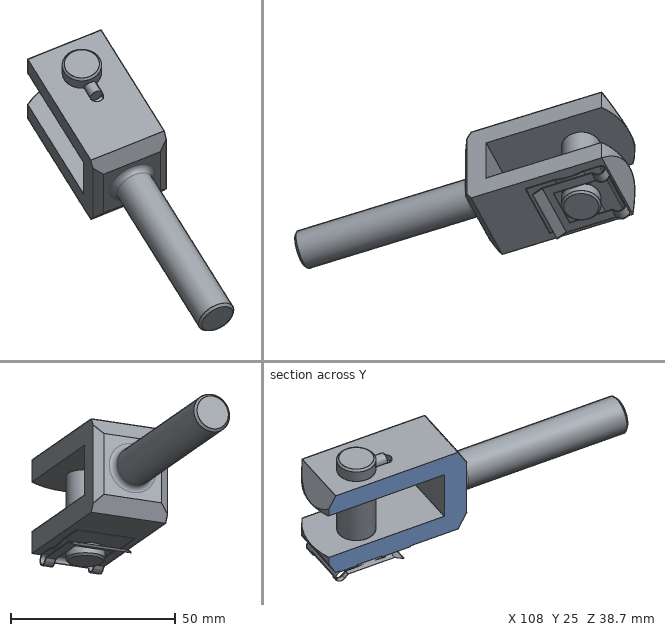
import cadquery as cq
import math

total_length = 108.0
fork_length = 50.0
fork_width = 25.0
fork_height = 30.0
gap_height = 16.0
gap_depth = 42.0
nose_depth = 4.0
shoulder_slope = math.tan(math.radians(60))
top_shoulder_length = 3.0
side_shoulder_length = 1.6

rod_diameter = 12.0
neck_fillet = 1.8
rod_end_chamfer = 0.8

pin_diameter = 12.0
pin_length = 38.7
pin_x = 15.9
pin_chamfer = 0.6
key_diameter = 4.1
key_end_x = 25.7
key_slot_center_x = 26.0

sheet = 0.3
clip_width = 19.4
upper_leaf_end_x = 30.1
leaf_bow = 0.6
bow_half_length = 4.6
loop_x = 5.9
loop_radius = 1.8
lower_leaf_z = -17.2
lower_leaf_end_x = 24.7
tail_length = 3.0
tail_drop = 1.6
notch_width = 13.0

half_width = fork_width / 2
half_height = fork_height / 2
half_gap = gap_height / 2


def shoulder(length, half_size):
    """Triangular section cut from the rear corner of the fork."""
    drop = length * shoulder_slope
    return [
        (fork_length - length, half_size),
        (fork_length, half_size),
        (fork_length, half_size - drop),
    ]


def make_fork():
    plan = (
        cq.Workplane("XY")
        .moveTo(nose_depth, -half_width)
        .lineTo(fork_length, -half_width)
        .lineTo(fork_length, half_width)
        .lineTo(nose_depth, half_width)
        .threePointArc((0, 0), (nose_depth, -half_width))
        .close()
        .extrude(half_height, both=True)
    )
    gap = cq.Workplane("XY").box(2 * gap_depth, fork_width, gap_height)
    fork = plan.cut(gap)

    nose = [(0, half_gap), (nose_depth, half_height), (0, half_height)]
    arm_sections = [nose, shoulder(top_shoulder_length, half_height)]
    for section in arm_sections:
        cut = cq.Workplane("XZ").polyline(section).close().extrude(half_width, both=True)
        fork = fork.cut(cut).cut(cut.mirror("XY"))
    side_section = shoulder(side_shoulder_length, half_width)
    side_cut = cq.Workplane("XY").polyline(side_section).close().extrude(half_height, both=True)
    return fork.cut(side_cut).cut(side_cut.mirror("XZ"))


def make_shank():
    """Turned rod with a concave fillet where it meets the fork."""
    radius = rod_diameter / 2
    neck_end = fork_length + neck_fillet
    neck_radius = radius + neck_fillet
    along = neck_end - neck_fillet * math.sin(math.radians(45))
    across = neck_radius - neck_fillet * math.cos(math.radians(45))
    return (
        cq.Workplane("XY")
        .moveTo(gap_depth, 0)
        .lineTo(gap_depth, radius)
        .lineTo(fork_length, radius)
        .lineTo(fork_length, neck_radius)
        .threePointArc((along, across), (neck_end, radius))
        .lineTo(total_length - rod_end_chamfer, radius)
        .lineTo(total_length, radius - rod_end_chamfer)
        .lineTo(total_length, 0)
        .close()
        .revolve(360, (0, 0, 0), (1, 0, 0))
    )


def make_pin():
    return (
        cq.Workplane("XY")
        .center(pin_x, 0)
        .circle(pin_diameter / 2)
        .extrude(pin_length / 2, both=True)
        .faces("<Z or >Z")
        .chamfer(pin_chamfer)
    )


def make_key():
    """Small round bar lying half sunk in the top face of the fork."""
    return (
        cq.Workplane("YZ", origin=(pin_x, 0, half_height))
        .circle(key_diameter / 2)
        .extrude(key_end_x - pin_x)
    )


def make_key_slot():
    depth = key_diameter / 2
    length = key_slot_center_x - pin_x
    slot = cq.Workplane("XY", origin=(pin_x + length / 2, 0, half_height - depth))
    return slot.slot2D(length + key_diameter, key_diameter).extrude(depth)


def make_clip():
    """Bowed upper leaf, rolled loop and lower leaf with a notch around the pin."""
    leaf_z = -half_height - sheet / 2
    loop_z = leaf_z - loop_radius
    loop_exit = loop_radius * math.cos(math.radians(45))
    ramp_x = loop_x + loop_exit
    ramp_z = loop_z - loop_exit
    centerline = (
        cq.Workplane("XZ")
        .moveTo(upper_leaf_end_x, leaf_z)
        .lineTo(pin_x + bow_half_length, leaf_z)
        .threePointArc((pin_x, leaf_z - leaf_bow), (pin_x - bow_half_length, leaf_z))
        .lineTo(loop_x, leaf_z)
        .threePointArc((loop_x - loop_radius, loop_z), (ramp_x, ramp_z))
        .lineTo(ramp_x + lower_leaf_z - ramp_z, lower_leaf_z)
        .lineTo(lower_leaf_end_x, lower_leaf_z)
        .lineTo(lower_leaf_end_x + tail_length, lower_leaf_z - tail_drop)
    )
    clip = centerline.wire().offset2D(sheet / 2).extrude(clip_width / 2, both=True)
    notch_end_x = pin_x + notch_width / 2
    notch = (
        cq.Workplane("XY", origin=(0, 0, loop_z))
        .rect(2 * notch_end_x, notch_width)
        .extrude(-pin_length / 2)
    )
    return clip.cut(notch)


result = (
    make_fork()
    .union(make_shank())
    .cut(make_key_slot())
    .union(make_pin())
    .union(make_key())
    .union(make_clip())
)